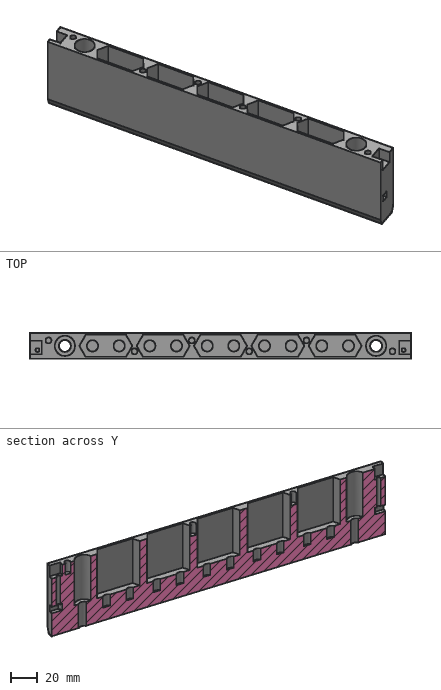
import math

import cadquery as cq

length = 286.0
width = 19.6
height = 62.0
bevel_width = 2.0
bevel_height = 5.5

half_corner = math.radians(30)

pocket_count = 5
pocket_pitch = 43.0
pocket_length = 39.8
pocket_width = 16.5
pocket_depth = 40.0
hole_pair_spacing = 20.0
floor_hole_diameter = 8.5
floor_hole_depth = 10.0

bolt_spacing = 233.4
bolt_hole_diameter = 8.8
counterbore_diameter = 15.2
counterbore_depth = 40.0

pin_diameter = 4.5
pin_depth = 10.0
pin_offset = 4.1
end_pin_x = 129.0

notch_length = 9.0
notch_width = 10.4
notch_depth = 9.8
notch_y = -1.2
screw_diameter = 3.0
screw_y = -3.1
screw_inset = 5.7
nut_width = 5.5
nut_slot_height = 5.5
nut_slot_floor = 21.0


def bar_body():
    """Rectangular bar with both long bottom edges bevelled."""
    half_width = width / 2
    foot = half_width - bevel_width
    section = [
        (-foot, 0),
        (foot, 0),
        (half_width, bevel_height),
        (half_width, height),
        (-half_width, height),
        (-half_width, bevel_height),
    ]
    return cq.Workplane("YZ").polyline(section).close().extrude(length / 2, both=True)


def hole_from(x, y, top, diameter, depth):
    """Round cutter reaching down from the given height."""
    return cq.Workplane("XY", origin=(x, y, top)).circle(diameter / 2).extrude(-depth)


def hexagonal_pocket(x):
    """Stretched hexagon cutter with two round holes below its floor."""
    half_width = pocket_width / 2
    half_length = pocket_length / 2
    half_flat = half_length - half_width * math.tan(half_corner)
    outline = [
        (-half_length, 0),
        (-half_flat, -half_width),
        (half_flat, -half_width),
        (half_length, 0),
        (half_flat, half_width),
        (-half_flat, half_width),
    ]
    cutter = cq.Workplane("XY", origin=(x, 0, height)).polyline(outline).close().extrude(-pocket_depth)
    for side in (-1, 1):
        hole_x = x + side * hole_pair_spacing / 2
        cutter = cutter.union(
            hole_from(hole_x, 0, height, floor_hole_diameter, pocket_depth + floor_hole_depth)
        )
    return cutter


def bolt_hole(x):
    """Through hole with a deep counterbore from the top."""
    counterbore = hole_from(x, 0, height, counterbore_diameter, counterbore_depth)
    return hole_from(x, 0, height, bolt_hole_diameter, height).union(counterbore)


def pin_positions():
    """Pin holes at both ends and between neighbouring pockets, zigzagging in Y."""
    gaps = pocket_count - 1
    between = [(i - (gaps - 1) / 2) * pocket_pitch for i in range(gaps)]
    along = [-end_pin_x] + between + [end_pin_x]
    return [(x, pin_offset * (-1) ** i) for i, x in enumerate(along)]


def end_fastening(side):
    """Top notch, screw hole and hexagon-ended nut slot for the end at side = -1 or 1."""
    end_x = side * length / 2
    screw_x = end_x - side * screw_inset
    notch_floor = height - notch_depth
    notch_plane = cq.Workplane("XY", origin=(end_x, notch_y, notch_floor))
    notch = notch_plane.rect(2 * notch_length, notch_width).extrude(notch_depth)
    screw = hole_from(screw_x, screw_y, notch_floor, screw_diameter, notch_floor - nut_slot_floor)

    half_nut = nut_width / 2
    shoulder_x = screw_x - side * half_nut * math.tan(half_corner)
    tip_x = screw_x - side * half_nut / math.cos(half_corner)
    nut_outline = [
        (end_x, screw_y - half_nut),
        (shoulder_x, screw_y - half_nut),
        (tip_x, screw_y),
        (shoulder_x, screw_y + half_nut),
        (end_x, screw_y + half_nut),
    ]
    nut_slot = cq.Workplane("XY", origin=(0, 0, nut_slot_floor)).polyline(nut_outline).close()
    return notch.union(screw).union(nut_slot.extrude(nut_slot_height))


result = bar_body()
for index in range(pocket_count):
    result = result.cut(hexagonal_pocket((index - (pocket_count - 1) / 2) * pocket_pitch))
for pin_x, pin_y in pin_positions():
    result = result.cut(hole_from(pin_x, pin_y, height, pin_diameter, pin_depth))
for end in (-1, 1):
    result = result.cut(bolt_hole(end * bolt_spacing / 2))
    result = result.cut(end_fastening(end))